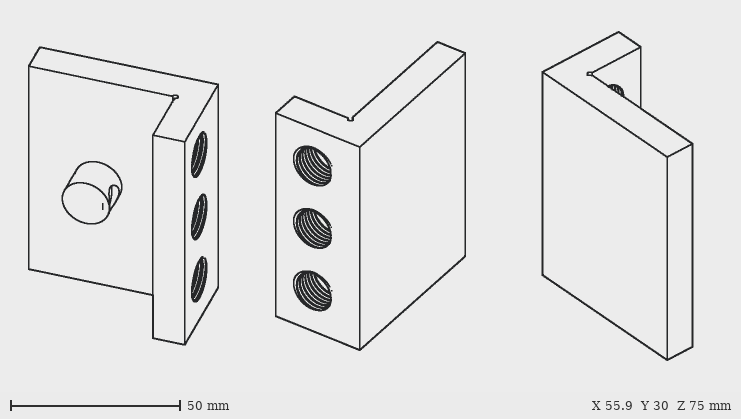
import cadquery as cq
import math

width = 55.9
depth = 30.0
height = 75.0
thickness = 10.0
relief_radius = 0.8

pin_diameter = 14.8
pin_length = 11.0
pin_x = 21.75
dimple_diameter = 8.4
dimple_depth = 2.25

hole_offset = 16.6
hole_spacing = 23.0
minor_diameter = 12.5
major_diameter = 14.2
pitch = 1.5
flank_angle = 30.0
tool_overlap = 0.15

wall_x = width - thickness
plate_y = depth - thickness
hole_y = depth - hole_offset
mid_z = height / 2


def make_bracket():
    """L-shaped body with a round relief along the inside corner."""
    body = cq.Workplane("XY").box(width, depth, height, centered=False)
    opening = cq.Workplane("XY").box(wall_x, plate_y, height, centered=False)
    relief = cq.Workplane("XY").center(wall_x, plate_y).circle(relief_radius).extrude(height)
    return body.cut(opening).cut(relief)


def make_pin():
    """Pin with a flat-bottomed dimple facing the middle hole."""
    pin = (
        cq.Workplane("XZ", origin=(pin_x, plate_y, mid_z))
        .circle(pin_diameter / 2)
        .extrude(pin_length)
    )
    dimple = (
        cq.Workplane("YZ", origin=(pin_x + pin_diameter / 2 - dimple_depth, hole_y, mid_z))
        .circle(dimple_diameter / 2)
        .extrude(dimple_depth)
    )
    return pin.cut(dimple)


def make_thread_groove():
    """Helical groove along +X that overruns the wall thickness at both ends."""
    inner_radius = minor_diameter / 2 - tool_overlap
    outer_radius = major_diameter / 2
    root_half = pitch / 16
    mouth_half = root_half + (outer_radius - inner_radius) * math.tan(math.radians(flank_angle))
    helix = cq.Wire.makeHelix(pitch, thickness + 2 * pitch, minor_diameter / 2)
    groove = (
        cq.Workplane("XZ")
        .polyline([
            (inner_radius, -mouth_half),
            (outer_radius, -root_half),
            (outer_radius, root_half),
            (inner_radius, mouth_half),
        ])
        .close()
        .sweep(cq.Workplane(obj=helix), isFrenet=True)
    )
    return groove.rotate((0, 0, 0), (0, 1, 0), 90).translate((-pitch, 0, 0))


def make_threaded_hole():
    """Bore and thread groove as one cutter, trimmed to the wall and starting at x = 0."""
    bore = cq.Workplane("YZ").circle(minor_diameter / 2).extrude(thickness)
    bore = bore.rotate((0, 0, 0), (1, 0, 0), 90)
    wall_slab = cq.Workplane("YZ").circle(major_diameter).extrude(thickness)
    return bore.union(make_thread_groove().intersect(wall_slab))


result = make_bracket().union(make_pin())
threaded_hole = make_threaded_hole()
for step in (-1, 0, 1):
    hole_start = (wall_x, hole_y, mid_z + step * hole_spacing)
    result = result.cut(threaded_hole.translate(hole_start))